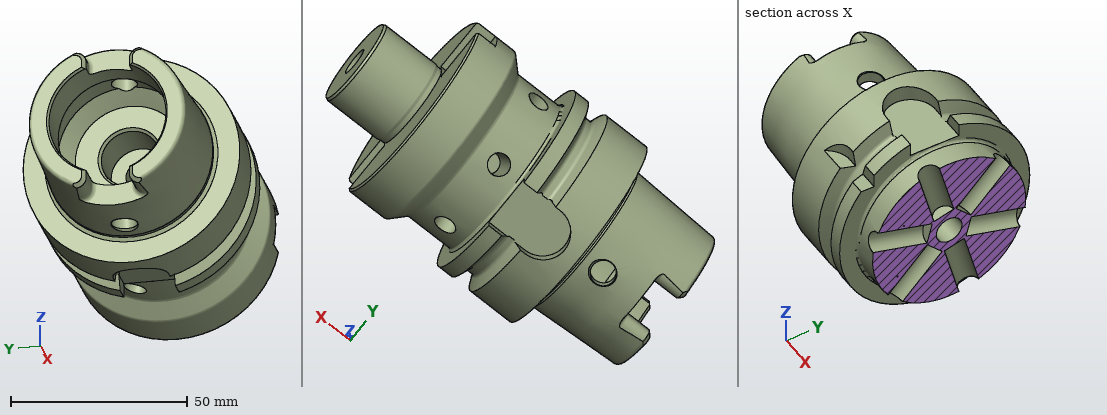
import cadquery as cq
import math


shank_length = 32.0
taper_gauge_radius = 48.0 / 2
taper_gauge_x = -6.3
taper_slope = 0.05
relief_length = 2.3
relief_run = 0.6
relief_radius = taper_gauge_radius
shoulder_run = 0.6
shoulder_radius = 50.3 / 2
rim_fillet = 1.1

cavity_radius = 34.0 / 2
cavity_straight_depth = 12.8
recess_radius = 40.0 / 2
recess_cone_run = 1.7
recess_end_x = -6.2
cavity_floor_x = -2.0
cavity_floor_radius = 31.8 / 2
cavity_mouth_widening = 0.6
cavity_mouth_length = 0.8
socket_radius = 17.0 / 2
socket_chamfer = 0.8
socket_depth = 13.6
through_bore_radius = 8.4 / 2

keyway_half_width = 12.5 / 2
keyway_flare_radius = 3.0
keyway_flare_z = 20.9
keyway_inner_z = 12.4
keyway_overrun = 2.5
upper_keyway_depth = 5.9
lower_keyway_depth = 9.8
keyway_floor_fillet = 1.2
keyway_mouth_chamfer = 1.1
keyway_mouth_angle = 45

cross_hole_x = -9.2
cross_hole_radius = 7.5 / 2
cross_hole_mouth_radius = 8.4 / 2

flange_radius = 63.0 / 2
flange_length = 26.0
groove_x = 17.9
groove_opening = 6.8
groove_floor_width = 3.0
groove_radius = 54.8 / 2
groove_fillet = 1.0

slot_radius = 8.0
slot_end_x = 12.9
slot_floor_z = 26.3
notch_wall_y = -20.1
notch_floor_z = 20.0

neck_radius = 51.0 / 2
neck_fillet = 0.9
neck_hole_x = 33.9
neck_hole_radius = 6.7 / 2
neck_hole_bottom_radius = 6.8
neck_hole_count = 6
neck_hole_first_angle = 45

head_radius = 60.1 / 2
head_cone_x = 41.9
head_cone_fillet = 1.1
head_face_x = 60.0
head_edge_chamfer = 0.6
drive_slot_width = 12.0
drive_slot_length = 6.7
drive_slot_floor_y = 12.9

pin_radius = 27.0 / 2
pin_end_x = 81.0
pin_chamfer_length = 0.8
pin_chamfer_height = 0.4
undercut_radius = 26.4 / 2
undercut_length = 1.4
undercut_run = 0.9


match_tolerance = 0.001


def taper_radius(x):
    return taper_gauge_radius + taper_slope * (x - taper_gauge_x)


def cylinder_x(radius, start_x, end_x):
    return cq.Workplane("YZ", origin=(start_x, 0, 0)).circle(radius).extrude(end_x - start_x)


def revolve_x(points):
    return cq.Workplane("XY").polyline(points).close().revolve(360, (0, 0, 0), (1, 0, 0))


def round_rings(body, rings, fillet):
    """Fillet the circular edges given as (x, radius) pairs."""
    edges = [
        edge
        for edge in body.edges("%CIRCLE").vals()
        for x, radius in rings
        if abs(edge.Center().x - x) < match_tolerance and abs(edge.radius() - radius) < match_tolerance
    ]
    return body.newObject(edges).fillet(fillet)


def turned_body():
    groove_half_opening = groove_opening / 2
    groove_half_floor = groove_floor_width / 2
    head_cone_end_x = head_cone_x + head_radius - neck_radius
    body = revolve_x([
        (-shank_length, 0),
        (-shank_length, taper_radius(-shank_length)),
        (-relief_length, taper_radius(-relief_length)),
        (-relief_length + relief_run, relief_radius),
        (-shoulder_run, relief_radius),
        (0, shoulder_radius),
        (0, flange_radius),
        (groove_x - groove_half_opening, flange_radius),
        (groove_x - groove_half_floor, groove_radius),
        (groove_x + groove_half_floor, groove_radius),
        (groove_x + groove_half_opening, flange_radius),
        (flange_length, flange_radius),
        (flange_length, neck_radius),
        (head_cone_x, neck_radius),
        (head_cone_end_x, head_radius),
        (head_face_x - head_edge_chamfer, head_radius),
        (head_face_x, head_radius - head_edge_chamfer),
        (head_face_x, undercut_radius),
        (head_face_x + undercut_length, undercut_radius),
        (head_face_x + undercut_length + undercut_run, pin_radius),
        (pin_end_x - pin_chamfer_length, pin_radius),
        (pin_end_x, pin_radius - pin_chamfer_height),
        (pin_end_x, 0),
    ])
    body = round_rings(body, [(-shank_length, taper_radius(-shank_length))], rim_fillet)
    groove_corners = [(groove_x + side * groove_half_floor, groove_radius) for side in (-1, 1)]
    body = round_rings(body, groove_corners, groove_fillet)
    body = round_rings(body, [(flange_length, neck_radius)], neck_fillet)
    head_corners = [(head_cone_x, neck_radius), (head_cone_end_x, head_radius)]
    return round_rings(body, head_corners, head_cone_fillet)


def keyway_outline(x):
    """Upward-opening outline whose walls flare outwards in an arc near the taper surface.

    It starts inside the cavity and runs past the taper surface.
    """
    flare_start_z = keyway_flare_z - keyway_flare_radius
    flare_centre_y = keyway_half_width + keyway_flare_radius
    flare_mid = keyway_flare_radius * math.sqrt(0.5)
    mid_y = flare_centre_y - flare_mid
    mid_z = flare_start_z + flare_mid
    outer_y = flare_centre_y + keyway_overrun
    outer_z = taper_gauge_radius + keyway_overrun
    return (
        cq.Workplane("YZ", origin=(x, 0, 0))
        .moveTo(-keyway_half_width, keyway_inner_z)
        .lineTo(keyway_half_width, keyway_inner_z)
        .lineTo(keyway_half_width, flare_start_z)
        .threePointArc((mid_y, mid_z), (flare_centre_y, keyway_flare_z))
        .lineTo(outer_y, keyway_flare_z)
        .lineTo(outer_y, outer_z)
        .lineTo(-outer_y, outer_z)
        .lineTo(-outer_y, keyway_flare_z)
        .lineTo(-flare_centre_y, keyway_flare_z)
        .threePointArc((-mid_y, mid_z), (-keyway_half_width, flare_start_z))
        .close()
    )


def keyway(depth):
    """Keyway with rounded floor edges and a chamfer all round its mouth."""
    channel = keyway_outline(-shank_length).extrude(depth)
    channel = channel.faces(">X").edges().fillet(keyway_floor_fillet)
    mouth = keyway_outline(keyway_mouth_chamfer - shank_length)
    mouth = mouth.extrude(-keyway_mouth_chamfer, taper=-keyway_mouth_angle)
    return channel.union(mouth)


def cavity():
    """Stepped cavity from the shank rim to the bottom of the coolant-tube socket."""
    straight_end_x = -shank_length + cavity_straight_depth
    socket_end_x = cavity_floor_x + socket_depth
    return revolve_x([
        (-shank_length, 0),
        (-shank_length, cavity_radius + cavity_mouth_widening),
        (-shank_length + cavity_mouth_length, cavity_radius),
        (straight_end_x, cavity_radius),
        (straight_end_x + recess_cone_run, recess_radius),
        (recess_end_x, recess_radius),
        (cavity_floor_x, cavity_floor_radius),
        (cavity_floor_x, socket_radius + socket_chamfer),
        (cavity_floor_x + socket_chamfer, socket_radius),
        (socket_end_x, socket_radius),
        (socket_end_x, 0),
    ])


def cross_hole():
    """Vertical hole with a 45-degree countersink at each outer surface."""
    hole = cq.Workplane("XY", origin=(cross_hole_x, 0, 0)).circle(cross_hole_radius)
    hole = hole.extrude(flange_radius, both=True)
    mouth_depth = cross_hole_mouth_radius - cross_hole_radius
    surface_z = taper_radius(cross_hole_x)
    for side in (-1, 1):
        mouth = cq.Solid.makeCone(
            cross_hole_radius,
            cross_hole_mouth_radius + mouth_depth,
            2 * mouth_depth,
            cq.Vector(cross_hole_x, 0, side * (surface_z - mouth_depth)),
            cq.Vector(0, 0, side),
        )
        hole = hole.union(cq.Workplane(mouth))
    return hole


def flange_slot(centre_y, floor_z):
    """Upward-opening slot with a round end, open towards the neck."""
    return (
        cq.Workplane("XY", origin=(0, centre_y, floor_z))
        .moveTo(flange_length, -slot_radius)
        .lineTo(slot_end_x, -slot_radius)
        .threePointArc((slot_end_x - slot_radius, 0), (slot_end_x, slot_radius))
        .lineTo(flange_length, slot_radius)
        .close()
        .extrude(flange_radius)
    )


def neck_hole(angle):
    """Flat-bottomed radial hole, turned about X by the angle from +Y."""
    hole = cq.Solid.makeCylinder(
        neck_hole_radius,
        neck_radius,
        cq.Vector(neck_hole_x, neck_hole_bottom_radius, 0),
        cq.Vector(0, 1, 0),
    )
    return cq.Workplane(hole).rotate((0, 0, 0), (1, 0, 0), angle)


def drive_slot():
    """Slot on the +Y side, open at the head face."""
    depth = head_radius - drive_slot_floor_y
    centre = (head_face_x - drive_slot_length / 2, drive_slot_floor_y + depth / 2, 0)
    return cq.Workplane("XY").box(drive_slot_length, depth, drive_slot_width).translate(centre)


def half_turn(body):
    return body.rotate((0, 0, 0), (1, 0, 0), 180)


result = turned_body()
result = result.cut(keyway(upper_keyway_depth)).cut(half_turn(keyway(lower_keyway_depth)))
result = result.cut(cavity())
result = result.cut(cylinder_x(through_bore_radius, -shank_length, pin_end_x))
result = result.cut(cross_hole())
top_slot = flange_slot(0, slot_floor_z)
result = result.cut(top_slot).cut(half_turn(top_slot))
result = result.cut(flange_slot(notch_wall_y - slot_radius, notch_floor_z))
for index in range(neck_hole_count):
    result = result.cut(neck_hole(neck_hole_first_angle + index * 360 / neck_hole_count))
result = result.cut(drive_slot()).cut(half_turn(drive_slot()))